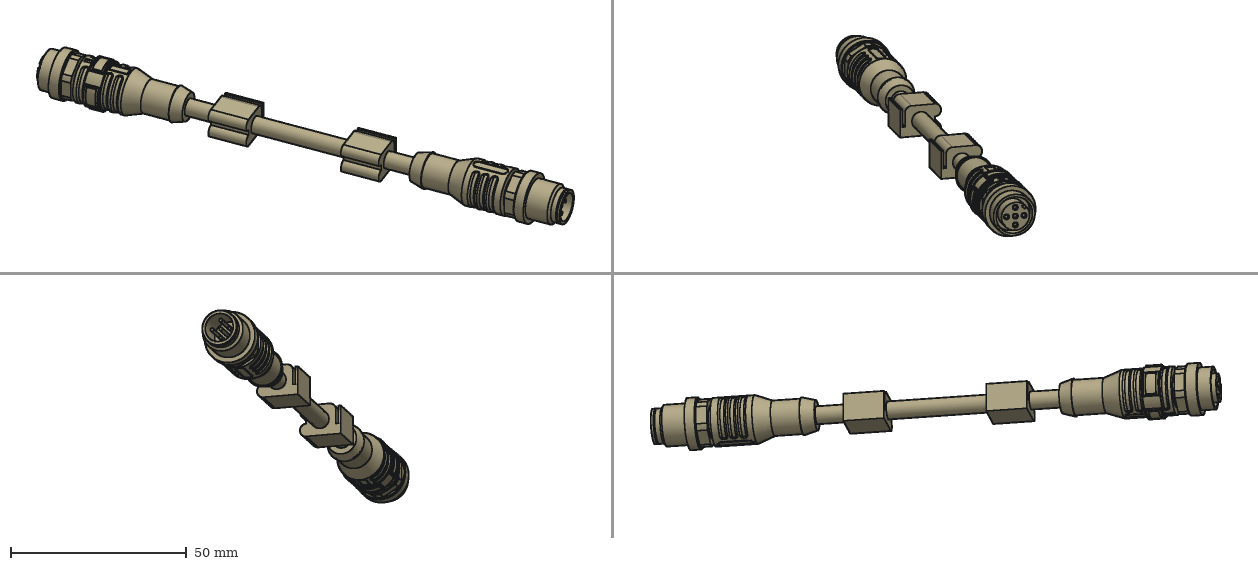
import cadquery as cq
import math


total_length = 163.6
cable_dia = 5.2

ring_dia = 15.0
ring_chamfer = 0.3
nut_dia = 14.0
nut_across_flats = 13.0
neck_dia = 9.3
body_dia = 14.0
boot_dia = 10.2
flare_dia = 10.95
boot_end_dia = 8.7

insert_dia = 8.3
female_sleeve_start = 1.2
female_sleeve_dia = 12.3
female_gap_dia = 10.8
female_gap_floor = 4.0
female_ring_start = 5.1
female_ring_end = 8.6
female_nut_end = 11.6
female_body_start = 12.5
female_body_end = 27.5
female_taper_end = 32.8
female_flare_start = 41.7
female_boot_end = 45.45

contact_circle_dia = 5.2
socket_dia = 1.0
socket_depth = 4.0
socket_mouth_dia = 1.5
socket_mouth_depth = 0.5
key_width = 1.15
key_depth = 0.8
key_length = 4.0
key_angle = 135

grip_start = 15.7
grip_end = 20.9
grip_dia = 14.6
pad_dia = 15.46
pad_length = 4.4
pad_width = 7.2
pad_window_length = 3.0
pad_window_width = 6.3
pad_window_dia = 15.1

male_boot_start = 116.4
male_flare_end = 120.5
male_taper_start = 128.9
male_body_start = 133.9
male_body_end = 146.0
male_nut_start = 147.0
male_ring_start = 150.2
male_ring_end = 153.4
male_thread_dia = 12.0
male_thread_end = 160.9
male_thread_chamfer = 0.7
male_tip_dia = 10.2
male_tip_groove_start = 162.5
male_tip_groove_width = 0.3
male_tip_groove_dia = 9.3
male_bore_dia = 8.3
male_bore_depth = 9.0
pin_dia = 1.0
pin_length = 7.5

groove_floor_dia = 13.1
groove_floor_width = 1.1
groove_top_width = 2.3
female_groove_centers = (14.7, 22.2, 25.4)
female_groove_end_y = 2.3
male_groove_centers = (136.9, 139.8, 142.7)
male_groove_end_y = 2.7

recess_floor_z = 6.6
male_recess_start = 134.6
male_recess_end = 145.2
male_recess_width = 2.7
female_rear_recess_start = 21.1
female_rear_recess_end = 26.9
female_rear_recess_width = 2.4
female_front_recess_start = 13.2
female_front_recess_end = 15.5
female_front_recess_width = 1.4

clip_starts = (54.4, 95.8)
clip_length = 11.8
clip_half_width = 6.1
clip_half_height = 4.6
clip_lobe_radius = 1.9
clip_slit_floor_y = -4.3
clip_top_flat_end = 2.7
clip_shoulder_y = 4.6
clip_shoulder_z = 2.7
clip_gap_floor_z = -1.5
clip_hook_y = 5.4
clip_hook_top_z = 3.7


def cylinder(dia, start, end):
    """Cylinder on the X axis between two X positions."""
    return cq.Workplane("YZ", origin=(start, 0, 0)).circle(dia / 2).extrude(end - start)


def revolved(profile):
    """Solid of revolution about X from (x, diameter) stations."""
    points = [(x, dia / 2) for x, dia in profile]
    outline = [(points[0][0], 0)] + points + [(points[-1][0], 0)]
    return cq.Workplane("XY").polyline(outline).close().revolve(360, (0, 0, 0), (1, 0, 0))


def contact_positions():
    """(y, z) of the five contacts: one in the centre, four on a circle."""
    radius = contact_circle_dia / 2
    return [(0, 0), (radius, 0), (0, radius), (-radius, 0), (0, -radius)]


def coupling_nut(start, end):
    """Hexagonal nut with its corners turned down, flats facing +Y and -Y."""
    corner_dia = nut_across_flats / math.cos(math.pi / 6)
    hexagon = (
        cq.Workplane("YZ", origin=(start, 0, 0))
        .polygon(6, corner_dia)
        .extrude(end - start)
        .rotate((0, 0, 0), (1, 0, 0), 30)
    )
    return hexagon.intersect(cylinder(nut_dia, start, end))


def coupling_ring(start, end, nut_side):
    """Ring with the edge on its nut side ("<X" or ">X") chamfered."""
    return cylinder(ring_dia, start, end).faces(nut_side).chamfer(ring_chamfer)


def finger_groove(center, end_y):
    """Tapered groove round both Y flanks, with rounded ends on top and bottom."""
    groove = (
        cq.Workplane("XY")
        .polyline([
            (center - groove_floor_width / 2, groove_floor_dia / 2),
            (center - groove_top_width / 2, body_dia / 2),
            (center - groove_top_width / 2, pad_dia / 2),
            (center + groove_top_width / 2, pad_dia / 2),
            (center + groove_top_width / 2, body_dia / 2),
            (center + groove_floor_width / 2, groove_floor_dia / 2),
        ])
        .close()
        .revolve(360, (0, 0, 0), (1, 0, 0))
    )
    flank_length = body_dia - end_y
    flank_y = end_y + flank_length / 2
    flanks = (
        cq.Workplane("XY", origin=(0, 0, -body_dia))
        .pushPoints([(center, flank_y), (center, -flank_y)])
        .slot2D(flank_length, groove_top_width, 90)
        .extrude(2 * body_dia)
    )
    return groove.intersect(flanks)


def recess_pair(start, end, width, round_ends):
    """Cutter for equal flat-bottomed recesses on the top and bottom of a body."""
    length = end - start
    plane = cq.Workplane("XY", origin=((start + end) / 2, 0, recess_floor_z))
    outline = plane.slot2D(length, width) if round_ends else plane.rect(length, width)
    top = outline.extrude(body_dia - recess_floor_z)
    return top.union(top.mirror("XY"))


def four_way_box(middle, length, width):
    """Crossed boxes that mark off a patch on each of the +-Y and +-Z sides."""
    bar = cq.Workplane("XY").box(length, width, 2 * pad_dia)
    return bar.union(bar.rotate((0, 0, 0), (1, 0, 0), 90)).translate((middle, 0, 0))


def grip_collar():
    """Round collar carrying four raised pads, each with a shallow window."""
    middle = (grip_start + grip_end) / 2
    pads = cylinder(pad_dia, grip_start, grip_end).cut(cylinder(pad_window_dia, grip_start, grip_end))
    pads = pads.intersect(four_way_box(middle, pad_length, pad_width))
    pads = pads.cut(four_way_box(middle, pad_window_length, pad_window_width))
    core = cylinder(pad_window_dia, grip_start, grip_end)
    core = core.intersect(four_way_box(middle, pad_length, pad_width))
    return cylinder(grip_dia, grip_start, grip_end).union(core).union(pads)


def female_connector():
    body = revolved([
        (female_body_start, body_dia),
        (female_body_end, body_dia),
        (female_taper_end, boot_dia),
        (female_flare_start, boot_dia),
        (female_flare_start, flare_dia),
        (female_boot_end, boot_end_dia),
    ])
    for center in female_groove_centers:
        body = body.cut(finger_groove(center, female_groove_end_y))
    body = body.cut(recess_pair(
        female_rear_recess_start, female_rear_recess_end, female_rear_recess_width, False))
    body = body.cut(recess_pair(
        female_front_recess_start, female_front_recess_end, female_front_recess_width, False))
    body = body.union(grip_collar())

    front = revolved([
        (0, insert_dia),
        (female_gap_floor, insert_dia),
        (female_gap_floor, female_gap_dia),
        (female_sleeve_start, female_gap_dia),
        (female_sleeve_start, female_sleeve_dia),
        (female_ring_start, female_sleeve_dia),
    ])
    contacts = cq.Workplane("YZ").pushPoints(contact_positions())
    front = front.cut(contacts.circle(socket_dia / 2).extrude(socket_depth))
    front = front.cut(contacts.circle(socket_mouth_dia / 2).extrude(socket_mouth_depth))
    key = (
        cq.Workplane("YZ")
        .center(insert_dia / 2, 0)
        .rect(2 * key_depth, key_width)
        .extrude(key_length)
        .rotate((0, 0, 0), (1, 0, 0), key_angle)
    )
    return (
        body.union(front.cut(key))
        .union(coupling_ring(female_ring_start, female_ring_end, ">X"))
        .union(coupling_nut(female_ring_end, female_nut_end))
        .union(cylinder(neck_dia, female_nut_end, female_body_start))
    )


def male_connector():
    body = revolved([
        (male_boot_start, boot_end_dia),
        (male_flare_end, flare_dia),
        (male_flare_end, boot_dia),
        (male_taper_start, boot_dia),
        (male_body_start, body_dia),
        (male_body_end, body_dia),
    ])
    for center in male_groove_centers:
        body = body.cut(finger_groove(center, male_groove_end_y))
    body = body.cut(recess_pair(male_recess_start, male_recess_end, male_recess_width, True))

    tip_groove_end = male_tip_groove_start + male_tip_groove_width
    plug = revolved([
        (male_ring_end, male_thread_dia),
        (male_thread_end - male_thread_chamfer, male_thread_dia),
        (male_thread_end, male_tip_dia),
        (male_tip_groove_start, male_tip_dia),
        (male_tip_groove_start, male_tip_groove_dia),
        (tip_groove_end, male_tip_groove_dia),
        (tip_groove_end, male_tip_dia),
        (total_length, male_tip_dia),
    ])
    bore_floor = total_length - male_bore_depth
    plug = plug.cut(cylinder(male_bore_dia, bore_floor, total_length))
    pins = (
        cq.Workplane("YZ", origin=(bore_floor, 0, 0))
        .pushPoints(contact_positions())
        .circle(pin_dia / 2)
        .extrude(pin_length)
    )
    return (
        body.union(cylinder(neck_dia, male_body_end, male_nut_start))
        .union(coupling_nut(male_nut_start, male_ring_start))
        .union(coupling_ring(male_ring_start, male_ring_end, "<X"))
        .union(plug)
        .union(pins)
    )


def label_clip(start):
    """Clip section in (y, z): two round lobes on -Y, a hook and gap on +Y."""
    lobe_y = clip_lobe_radius - clip_half_width
    upper_lobe_z = clip_half_height - clip_lobe_radius
    plane = cq.Workplane("YZ", origin=(start, 0, 0))
    core = (
        plane.moveTo(clip_slit_floor_y, -clip_half_height)
        .lineTo(clip_half_width, -clip_half_height)
        .lineTo(clip_half_width, clip_hook_top_z)
        .lineTo(clip_hook_y, clip_hook_top_z)
        .lineTo(clip_hook_y, clip_gap_floor_z)
        .lineTo(clip_shoulder_y, clip_gap_floor_z)
        .lineTo(clip_shoulder_y, clip_shoulder_z)
        .radiusArc((clip_top_flat_end, clip_half_height), -clip_lobe_radius)
        .lineTo(clip_slit_floor_y, clip_half_height)
        .close()
        .extrude(clip_length)
    )
    lobes = (
        plane.pushPoints([(lobe_y, upper_lobe_z), (lobe_y, -upper_lobe_z)])
        .circle(clip_lobe_radius)
        .extrude(clip_length)
    )
    return core.union(lobes)


result = cylinder(cable_dia, female_taper_end, male_taper_start)
result = result.union(female_connector()).union(male_connector())
for clip_start in clip_starts:
    result = result.union(label_clip(clip_start))